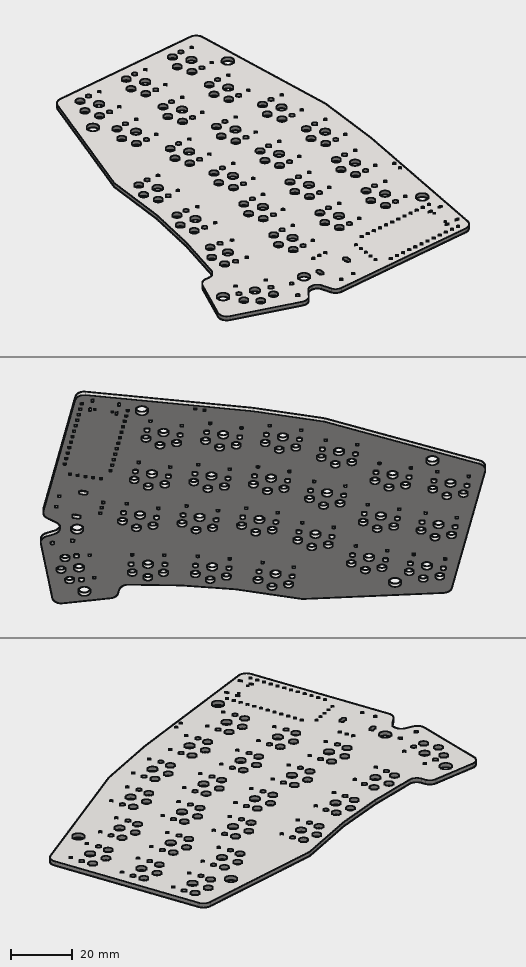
import cadquery as cq
thickness = 1.6
length = 136.9

key_pitch = 19.2
row_count = 3
first_key_x = 10.0
home_row_y = 59.7
column_staggers = [0, 0, 6.8, 9.7, 6.8, 4.0]
thumb_keys = [
    (57.4, 27.1, 0),
    (78.2, 26.1, -5),
    (98.8, 23.1, -11),
    (120.5, 17.1, 70),
]

stem_diameter = 3.4
guide_diameter = 1.8
guide_offset = 5.5
socket_diameter = 3.0
socket_side = (5.0, -3.8)
socket_middle_y = -5.9
latch_diameter = 1.0
latch_offset = (5.2, 4.2)

mount_diameter = 4.1
mount_points = [(17.8, 87.8), (114.7, 91.2), (18.6, 31.1), (124.6, 34.2), (116.6, 7.0)]

controller_pin_diameter = 0.9
controller_pin_count = 12
controller_row_x = (119.2, 134.5)
controller_first_y = 62.4
controller_last_y = 90.4
end_pin_diameter = 0.81
end_pin_count = 5
end_row_y = 58.2
end_first_x = 121.5
end_last_x = 131.8

usb_center = (126.9, 90.4)
usb_slot_spacing = (8.8, 4.1)
usb_slot_size = (1.4, 0.7)
usb_peg_diameter = 0.65
usb_peg_spacing = 5.7
usb_peg_y = 88.7

encoder_center = (126.0, 45.3)
encoder_slot_spacing = 11.1
encoder_slot_size = (2.9, 1.6)
encoder_pin_diameter = 1.0
encoder_pin_x = 7.3
encoder_pin_y = 2.5

top_pin_diameter = 0.9
top_pin_points = [(94.9, 95.4), (97.9, 95.4)]
button_pin_diameter = 1.3
button_pin_points = [(125.0, 28.7), (131.2, 26.4)]

corner_radius = 3.0
notch_radius = 2.7
outline_corners = [
    (0, 30.1, corner_radius),
    (46.5, 17.7, 0),
    (68.7, 17.7, 0),
    (86.2, 15.9, 0),
    (105.7, 12.3, corner_radius),
    (105.7, 6.3, corner_radius),
    (125.3, -0.8, corner_radius),
    (135.7, 27.7, corner_radius),
    (130.0, 31.5, notch_radius),
    (130.0, 35.0, notch_radius),
    (length, 37.9, corner_radius),
    (length, 94.3, corner_radius),
    (79.4, 98.2, 0),
    (55.7, 98.2, 0),
    (0, 89.0, corner_radius),
]


def make_plate():
    """Plate with its outline corners rounded one by one."""
    corner_points = [(x, y) for x, y, _ in outline_corners]
    plate = cq.Workplane("XY").polyline(corner_points).close().extrude(thickness)
    for x, y, radius in outline_corners:
        if radius > 0:
            corner = cq.selectors.NearestToPointSelector((x, y, thickness / 2))
            plate = plate.edges("|Z").edges(corner).fillet(radius)
    return plate


def round_holes(points, diameter):
    """Through-hole cutters at the given points."""
    return cq.Workplane("XY").pushPoints(points).circle(diameter / 2).extrude(thickness)


def slots(points, size, angle):
    """Round-ended slot cutters of overall length and width `size`."""
    return cq.Workplane("XY").pushPoints(points).slot2D(size[0], size[1], angle).extrude(thickness)


def evenly_spaced(first, last, count):
    """`count` positions from `first` to `last`, both included."""
    return [first + (last - first) * i / (count - 1) for i in range(count)]


def make_switch_holes():
    """All holes of one switch, centred on the origin."""
    socket_x, socket_y = socket_side
    latch_x, latch_y = latch_offset
    sockets = [(-socket_x, socket_y), (socket_x, socket_y), (0, socket_middle_y)]
    return (
        round_holes([(0, 0)], stem_diameter)
        .add(round_holes([(-guide_offset, 0), (guide_offset, 0)], guide_diameter))
        .add(round_holes(sockets, socket_diameter))
        .add(round_holes([(-latch_x, latch_y), (latch_x, latch_y)], latch_diameter))
    )


def key_places():
    """Centre and rotation of every key."""
    places = list(thumb_keys)
    for column, stagger in enumerate(column_staggers):
        for row in range(row_count):
            x = first_key_x + column * key_pitch
            y = home_row_y + stagger + (row - (row_count - 1) / 2) * key_pitch
            places.append((x, y, 0))
    return places


def key_cutters():
    """The switch footprint copied to every key."""
    switch = cq.Compound.makeCompound(make_switch_holes().vals())
    up = cq.Vector(0, 0, 1)
    return [switch.moved(cq.Location(cq.Vector(x, y, 0), up, angle)) for x, y, angle in key_places()]


def controller_cutters():
    pin_ys = evenly_spaced(controller_first_y, controller_last_y, controller_pin_count)
    points = [(x, y) for x in controller_row_x for y in pin_ys]
    end_points = [(x, end_row_y) for x in evenly_spaced(end_first_x, end_last_x, end_pin_count)]
    long_rows = round_holes(points, controller_pin_diameter)
    end_row = round_holes(end_points, end_pin_diameter)
    return long_rows.vals() + end_row.vals()


def usb_cutters():
    x, y = usb_center
    half_x, half_y = usb_slot_spacing[0] / 2, usb_slot_spacing[1] / 2
    shell = [(x + i * half_x, y + j * half_y) for i in (-1, 1) for j in (-1, 1)]
    pegs = [(x + i * usb_peg_spacing / 2, usb_peg_y) for i in (-1, 1)]
    return slots(shell, usb_slot_size, 90).vals() + round_holes(pegs, usb_peg_diameter).vals()


def encoder_cutters():
    x, y = encoder_center
    tabs = [(x, y + i * encoder_slot_spacing / 2) for i in (-1, 1)]
    pins = [(x - encoder_pin_x, y + i * encoder_pin_y) for i in (-1, 0, 1)]
    pins += [(x + encoder_pin_x, y + i * encoder_pin_y) for i in (-1, 1)]
    return slots(tabs, encoder_slot_size, 0).vals() + round_holes(pins, encoder_pin_diameter).vals()


cutters = key_cutters() + controller_cutters() + usb_cutters() + encoder_cutters()
cutters += round_holes(mount_points, mount_diameter).vals()
cutters += round_holes(top_pin_points, top_pin_diameter).vals()
cutters += round_holes(button_pin_points, button_pin_diameter).vals()

result = cq.Workplane("XY").newObject([make_plate().val().cut(*cutters)])